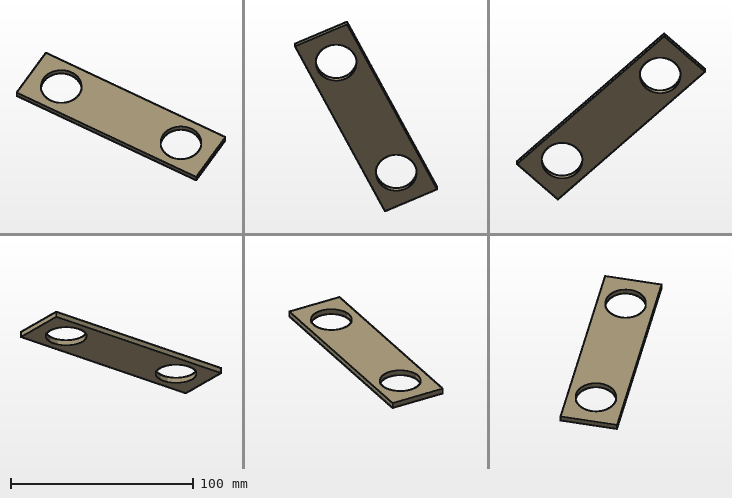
import cadquery as cq

plate_length = 114.3
plate_width = 31.75
plate_thickness = 3.175

hole_diameter = 22.35
hole_spacing = 76.2
hole_to_front_edge = 16.002
hole_y = hole_to_front_edge - plate_width / 2


def make_plate():
    """Flat rectangular plate centred on the origin."""
    return cq.Workplane("XY").box(plate_length, plate_width, plate_thickness)


def cut_holes(plate):
    """Cut the pair of through holes, spaced evenly about the plate's middle in X."""
    hole_centres = [(side * hole_spacing / 2, hole_y) for side in (-1, 1)]
    return plate.faces(">Z").workplane().pushPoints(hole_centres).hole(hole_diameter)


result = cut_holes(make_plate())